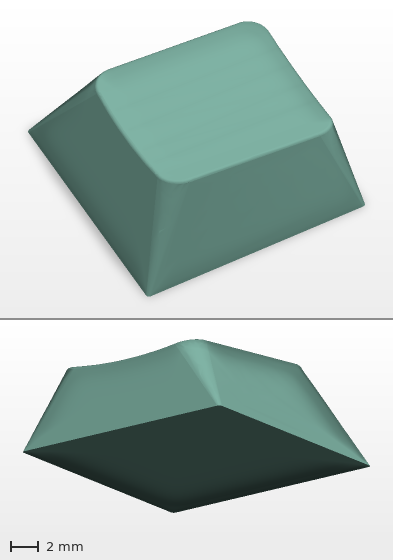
import cadquery as cq

BASE_SIZE = 18.0
BASE_CORNER_RADIUS = 0.25

TOP_WIDTH = 11.9
TOP_LENGTH = 14.0
TOP_CORNER_RADIUS = 1.75
TOP_CENTRE_Y = 1.5
TOP_CENTRE_HEIGHT = 6.75
TOP_TILT = 5.3

DISH_RADIUS = 32.0
DISH_DEPTH = 0.69
DISH_LENGTH = 2 * BASE_SIZE
RIM_FILLET = 0.25


def top_location():
    """Frame of the sloping top, with its local Y running down the slope."""
    return cq.Location(cq.Vector(0, TOP_CENTRE_Y, TOP_CENTRE_HEIGHT), cq.Vector(1, 0, 0), -TOP_TILT)


def rounded_rectangle(width, length, radius):
    return cq.Sketch().rect(width, length).vertices().fillet(radius)


def tapered_body():
    base = rounded_rectangle(BASE_SIZE, BASE_SIZE, BASE_CORNER_RADIUS)
    top = rounded_rectangle(TOP_WIDTH, TOP_LENGTH, TOP_CORNER_RADIUS)
    return cq.Workplane("XY").placeSketch(base, top.moved(top_location())).loft(ruled=True)


def dish_cutter():
    axis_height = DISH_RADIUS - DISH_DEPTH
    cylinder = (
        cq.Workplane("XZ")
        .center(0, axis_height)
        .circle(DISH_RADIUS)
        .extrude(DISH_LENGTH / 2, both=True)
        .rotate((0, 0, axis_height), (0, 1, axis_height), 90)
    )
    return cq.Workplane(obj=cylinder.val().moved(top_location()))


def round_rim(body):
    """Round the edge all around the dish, which is the only cylindrical face."""
    return body.faces("%CYLINDER").edges().fillet(RIM_FILLET)


result = round_rim(tapered_body().cut(dish_cutter()))